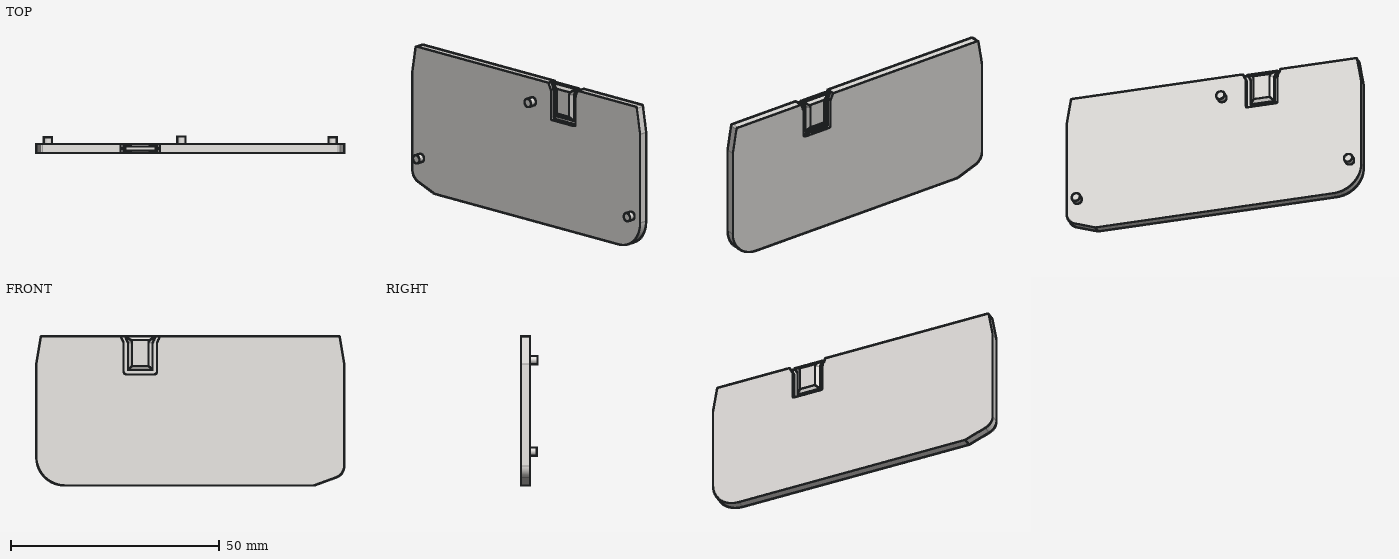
import cadquery as cq
import math

width = 74.0
height = 35.9
thickness = 2.2
half_width = width / 2
side_taper_inset = 1.1
side_taper_height = 6.65
top_corner_radius = 0.45
lower_left_radius = 6.9
lower_bevel_length = 7.25
lower_bevel_angle = 20.0
lower_right_radius = 2.95

notch_x = -12.0
notch_half_width = 4.0
notch_depth = 9.2
notch_corner_radius = 0.6
gap = 1.0
flare_width = 0.75
flare_depth = 1.6
web_thickness = 0.2
tab_bevel_width = 0.95
tab_bevel_height = 0.63

pin_diameter = 2.1
side_pin_x = 34.2
side_pin_z = height - 27.75
side_pin_length = 1.6
centre_pin_x = -2.15
centre_pin_z = height - 5.8
centre_pin_length = 1.8


def front_plane(y):
    """Sketch plane parallel to the front face; extrusion runs toward +Y."""
    return cq.Workplane(cq.Plane(origin=(0, y, 0), xDir=(1, 0, 0), normal=(0, -1, 0)))


def corner(x, z):
    """Selector for the through-thickness edge nearest an outline corner."""
    return cq.selectors.NearestToPointSelector((x, thickness / 2, z))


def make_plate():
    top_half_width = half_width - side_taper_inset
    taper_z = height - side_taper_height
    bevel_start_x = half_width - lower_bevel_length
    bevel_end_z = lower_bevel_length * math.tan(math.radians(lower_bevel_angle))
    outline = [
        (-half_width, 0),
        (bevel_start_x, 0),
        (half_width, bevel_end_z),
        (half_width, taper_z),
        (top_half_width, height),
        (-top_half_width, height),
        (-half_width, taper_z),
    ]
    plate = front_plane(0).polyline(outline).close().extrude(-thickness)
    plate = plate.edges(corner(-half_width, 0)).fillet(lower_left_radius)
    plate = plate.edges(corner(half_width, bevel_end_z)).fillet(lower_right_radius)
    for x in (-top_half_width, top_half_width):
        plate = plate.edges(corner(x, height)).fillet(top_corner_radius)
    return plate


def flared_outline(y, half, depth):
    """Rectangle hanging from the top edge that widens near that edge."""
    flare_z = height - flare_depth
    right_side = [(half, height - depth), (half, flare_z), (half + flare_width, height)]
    left_side = [(-x, z) for x, z in reversed(right_side)]
    points = [(notch_x + x, z) for x, z in right_side + left_side]
    return front_plane(y).polyline(points).close()


def make_notch():
    notch = flared_outline(0, notch_half_width, notch_depth).extrude(-thickness)
    for side in (-1, 1):
        bottom_corner = corner(notch_x + side * notch_half_width, height - notch_depth)
        notch = notch.edges(bottom_corner).fillet(notch_corner_radius)
    return notch


def make_web(notch):
    layer = cq.Workplane("XY").box(width, web_thickness, 2 * height)
    return notch.intersect(layer.translate((0, thickness / 2, 0)))


def make_tab():
    half = notch_half_width - gap
    depth = notch_depth - gap
    bevel_angle = math.degrees(math.atan2(tab_bevel_width, tab_bevel_height))
    core_thickness = thickness - 2 * tab_bevel_height
    core = flared_outline(tab_bevel_height, half, depth).extrude(-core_thickness)
    base = flared_outline(tab_bevel_height, half, depth)
    front_bevel = base.extrude(tab_bevel_height, taper=bevel_angle)
    back_bevel = front_bevel.mirror("XZ").translate((0, thickness, 0))
    return core.union(front_bevel).union(back_bevel)


def make_pin(x, z, length):
    return front_plane(thickness).center(x, z).circle(pin_diameter / 2).extrude(-length)


notch = make_notch()
result = make_plate().cut(notch).union(make_web(notch)).union(make_tab())
for x in (-side_pin_x, side_pin_x):
    result = result.union(make_pin(x, side_pin_z, side_pin_length))
result = result.union(make_pin(centre_pin_x, centre_pin_z, centre_pin_length))